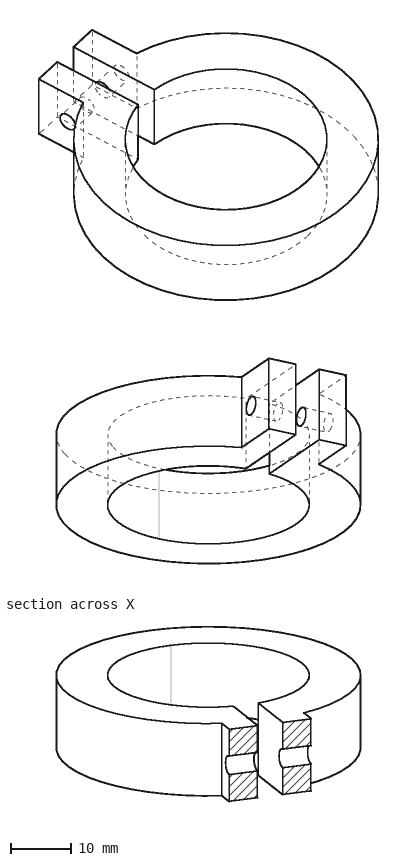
import cadquery as cq

overall_length = 58.85
ring_diameter = 50.65
bore_diameter = 33.55
height = 12.7
slot_width = 4.5
ear_thickness = 5.1
bolt_diameter = 3.2
bolt_to_ear_end = 6.05

ear_reach = overall_length - ring_diameter / 2
ears_width = slot_width + 2 * ear_thickness


def disc(diameter):
    """Full-height cylinder on the ring axis."""
    return cq.Workplane("XY").cylinder(height, diameter / 2)


def arm_block(width):
    """Full-height block from the ring centre to the ear ends."""
    return cq.Workplane("XY").box(ear_reach, width, height).translate((-ear_reach / 2, 0, 0))


body = disc(ring_diameter).union(arm_block(ears_width))

body = body.cut(disc(bore_diameter)).cut(arm_block(slot_width))

bolt_hole = (
    cq.Workplane("XZ")
    .center(bolt_to_ear_end - ear_reach, 0)
    .circle(bolt_diameter / 2)
    .extrude(ears_width, both=True)
)

result = body.cut(bolt_hole)